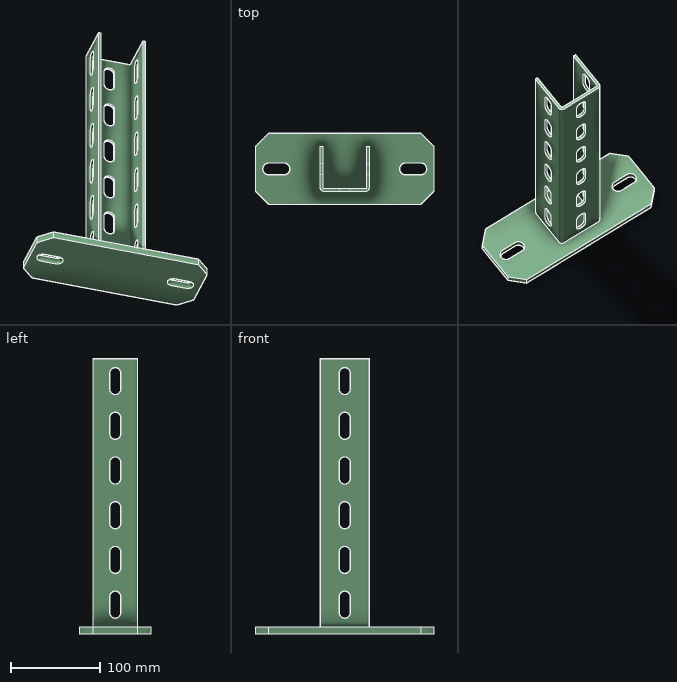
import cadquery as cq

plate_length = 200.0
plate_width = 80.0
plate_thickness = 8.0
corner_chamfer = 15.0
plate_slot_length = 30.0
plate_slot_width = 13.0
plate_slot_spacing = 153.0

post_height = 300.0
post_width = 55.0
post_depth = 50.0
wall = 3.0
bend_radius = 4.0
post_front_y = -25.0

slot_count = 6
slot_pitch = 50.0
slot_length = 30.0
slot_width = 12.0
flange_slot_y = 0.0

post_center_y = post_front_y + post_depth / 2
slot_heights = [plate_thickness + slot_pitch * (i + 0.5) for i in range(slot_count)]


def make_plate():
    """Flat plate with cut corners and a lengthwise slot near each end."""
    return (
        cq.Workplane("XY")
        .box(plate_length, plate_width, plate_thickness, centered=(True, True, False))
        .edges("|Z")
        .chamfer(corner_chamfer)
        .faces(">Z")
        .workplane()
        .rarray(plate_slot_spacing, 1, 2, 1)
        .slot2D(plate_slot_length, plate_slot_width)
        .cutThruAll()
    )


def make_channel():
    """Bent sheet U-profile with concentric inner and outer bend radii."""
    base = cq.Workplane("XY", origin=(0, post_center_y, plate_thickness))
    outside = (
        base.rect(post_width, post_depth)
        .extrude(post_height)
        .edges("|Z and <Y")
        .fillet(bend_radius)
    )
    inside = (
        base.center(0, wall)
        .rect(post_width - 2 * wall, post_depth)
        .extrude(post_height)
        .edges("|Z and <Y")
        .fillet(bend_radius - wall)
    )
    return outside.cut(inside)


def make_web_slots():
    """Upright slot cutters passing through the web along Y."""
    return (
        cq.Workplane("XZ")
        .pushPoints([(0, z) for z in slot_heights])
        .slot2D(slot_length, slot_width, 90)
        .extrude(post_depth, both=True)
    )


def make_flange_slots():
    """Upright slot cutters passing through both flanges along X."""
    return (
        cq.Workplane("YZ")
        .pushPoints([(flange_slot_y, z) for z in slot_heights])
        .slot2D(slot_length, slot_width, 90)
        .extrude(post_width, both=True)
    )


plate = make_plate()
post = make_channel().cut(make_web_slots()).cut(make_flange_slots())

result = cq.Compound.makeCompound([plate.val(), *post.vals()])